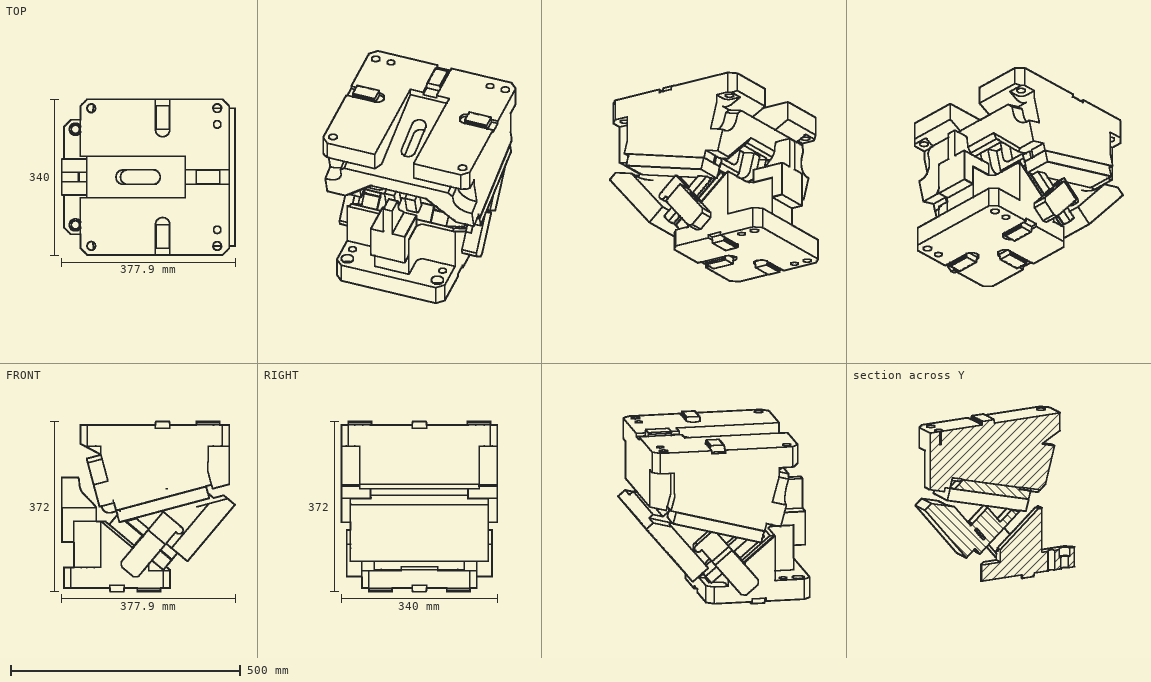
import cadquery as cq
import math

LONG = 756.0
CORNER_CHAMFER = 15.0
CORNER_RADIUS = 15.0

BASE_LEFT = 5.0
BASE_RIGHT = 236.2
BASE_BOTTOM = 8.0
BASE_HALF_WIDTH = 125.0
FOOT_TOP = 53.3
BASE_TOP = 153.5
WALL_LEFT = 85.5
POST_LEFT = 26.5
POST_HALF_WIDTH = 39.5
SLOPE_ANGLE = 40.0
SLOPE_START = 95.5
SLOPE_LEDGE_WIDTH = 5.5
SLOPE_LEDGE_DEPTH = 6.0
SLOPE_LEDGE_END = 155.0
STOP_HEIGHT = 9.5
STOP_LENGTH = 47.2
NOTCH_LEFT = 190.0
NOTCH_FLOOR = 45.7
NOTCH_HALF_SPAN = 83.0
BOLT_X = 30.0
BOLT_Y = 104.5
BOLT_DIAMETER = 18.0
BOLT_HEAD_DIAMETER = 26.5
BOLT_HEAD_DEPTH = 19.0
DOWEL_OFFSET = 33.3
DOWEL_DIAMETER = 16.3

CAP_LENGTH = 75.5
CAP_TOP = 183.7
CAP_LEG_BOTTOM = 108.0
CAM_TOP = 250.0
CAM_HALF_WIDTH = 10.2
CAM_CREST_LENGTH = 35.5
CAM_SHOULDER = (37.8, 246.0)
CAM_FACE_BOTTOM = (39.0, 234.0)
CAM_ARC_MIDDLE = (42.0, 222.2)
CAM_FLANK_TOP = (49.0, 212.5)
CAM_FLANK_BOTTOM = (71.5, 189.5)
CAP_CHAMFER = 0.8

UPPER_LEFT = 41.0
UPPER_RIGHT = 365.5
UPPER_TOP = 364.0
UPPER_HALF_WIDTH = 170.0
FLANGE_BOTTOM = 318.0
FLANGE_LIP_BOTTOM = 322.8
INNER_HALF_WIDTH = 130.0
BACK_NOTCH_LEFT = 319.5
RAIL_ANGLE = 15.0
RAIL_X = 54.0
RAIL_Z = 290.5
TONGUE_LENGTH = 32.5
TONGUE_BOTTOM = -109.0
CASTING_BOTTOM = -126.0
SIDE_END = 248.5
BACK_NOTCH_BEND = -95.5
BACK_BOTTOM = -135.0
POCKET_DEPTH = 59.5
POCKET_RADIUS = 34.8
POCKET_CHAMFER = 10.0
SLOT_HALF_WIDTH = 45.0
SLOT_RIGHT = 270.0
OBROUND_START = 66.5
OBROUND_END = 166.3
OBROUND_WIDTH = 31.5
OBROUND_DEPTH = 37.8
TUNNEL_TOP = -54.8
TUNNEL_HALF_WIDTH = 59.7
MOUTH_CHAMFER = 10.5
CHANNEL_HALF_WIDTH = 133.0
STRIP_START = 33.3
STRIP_END = 236.2
STRIP_THICKNESS = 27.2
STRIP_INNER_Y = 107.0
STRIP_CHAMFER = 0.8
HOLE_LEFT_X = 64.5
HOLE_RIGHT_X = 339.0
HOLE_Y = 150.0
PIN_HOLE_Y = 115.0
PIN_HOLE_DIAMETER = 16.3
PIN_HOLE_DEPTH = 30.2

KEY_WIDTH = 31.5
KEY_LENGTH = 51.0
KEY_PROUD = 8.0
GROOVE_DEPTH = 6.8
KEY_CHAMFER_WIDTH = 1.32
KEY_CHAMFER_HEIGHT = 3.6
SIDE_KEY_INSET = 14.7
END_KEY_INSET = 20.8
GROOVE_RUN_OUT = 16.3
UPPER_KEY_X = 220.0
LOWER_KEY_X = 120.5

FLANGE_HALF_WIDTH = 126.2
NECK_HALF_WIDTH = 106.0
FIN_START = 4.5
FIN_INNER_Y = 12.5
FIN_OUTER_Y = 35.0
FIN_END = 36.3
FIN_TOP = -70.0
FIN_BOTTOM = -128.0
FIN_RADIUS = 17.5
RIB_HALF_WIDTH = 49.5
FRONT_POCKET_FLOOR = -106.2
FRONT_POCKET_DEPTH = 30.2
FRONT_POCKET_RADIUS = 14.7
RIB_STEP_DEPTH = 1.0
NECK_UNDERSIDE = 37.8
SHOE_START = 10.2
SHOE_END = 164.5
SHOE_TOP = 48.0
SHOE_HALF_WIDTH = 98.3
SHOE_CORE_HALF_WIDTH = 61.2
SHOE_LINE = 29.5
SHOE_LINE_WIDTH = 1.5
END_SLOT_DEPTH = 11.5
SLIDER_BACK = 191.0
WING_START = 147.5
WING_END = 192.8
WING_TOP = 209.5
WING_HALF_WIDTH = 150.5
WING_CENTRE_TOP = -154.5
WING_SIDE_TOP = -164.0
WING_FILLET = 15.5
BRACKET_START = 82.8
BRACKET_END = 132.0
BRACKET_TOP = 45.5
BRACKET_BOTTOM = -53.3
BRACKET_OUTER_Y = 158.7
BRACKET_CHAMFER = 7.5
BOSS_TOP = 97.0
LUG_P = 135.5
LUG_Q = 89.0
LUG_RADIUS = 8.5
PAD_THICKNESS = 1.5
PAD_TOP = 26.0
PAD_BOTTOM = -5.5
PAD_OUTER_Y = 137.5


def tilted_frame(x, z, angle):
    """Side-on plane whose first axis rises by `angle` from +X; its normal is -Y."""
    tilt = math.radians(angle)
    return cq.Plane(origin=(x, 0, z), xDir=(math.cos(tilt), 0, math.sin(tilt)), normal=(0, -1, 0))


UPRIGHT = tilted_frame(0, 0, 0)
RAIL = tilted_frame(RAIL_X, RAIL_Z, RAIL_ANGLE)
SLOPE = tilted_frame(SLOPE_START, BASE_TOP, -SLOPE_ANGLE)
STRIP_BOTTOM = CASTING_BOTTOM - STRIP_THICKNESS
SIDES = (-1, 1)


def rail_point(u, v):
    """X and Z of a point given in the rail frame."""
    point = RAIL.toWorldCoords((u, v))
    return (point.x, point.z)


def slope_point(p, q):
    """X and Z of a point given in the slope frame."""
    point = SLOPE.toWorldCoords((p, q))
    return (point.x, point.z)


def prism(frame, points, half_width):
    """Outline in a side-on frame, extruded to both sides of Y = 0."""
    return cq.Workplane(frame).polyline(points).close().extrude(half_width, both=True)


def block(frame, start, end, bottom, top, half_width):
    """Box in a side-on frame, centred on Y = 0."""
    return prism(frame, [(start, bottom), (end, bottom), (end, top), (start, top)], half_width)


def side_block(frame, start, end, bottom, top, inner_y, outer_y, side):
    """Box in a side-on frame, between two distances from Y = 0 on one side."""
    outline = cq.Workplane(frame).workplane(offset=-side * inner_y)
    outline = outline.moveTo((start + end) / 2, (bottom + top) / 2).rect(end - start, top - bottom)
    return outline.extrude(-side * (outer_y - inner_y))


def box(x_range, y_range, z_range):
    """Upright box from its three ranges."""
    size = [high - low for low, high in (x_range, y_range, z_range)]
    corner = (x_range[0], y_range[0], z_range[0])
    return cq.Workplane("XY").box(*size, centered=False).translate(corner)


def cylinder(x, y, bottom, top, diameter):
    return cq.Workplane("XY", origin=(x, y, bottom)).circle(diameter / 2).extrude(top - bottom)


def mounting_outline(left, right, half_width):
    """Tall block with the plan outline of a mounting plate, corners chamfered."""
    plan = box((left, right), (-half_width, half_width), (-LONG, LONG))
    return plan.edges("|Z").chamfer(CORNER_CHAMFER)


def rail_section(u):
    """Plane across the rail at distance u; its first axis is +Y and its second is v."""
    x, z = rail_point(u, 0)
    tilt = math.radians(RAIL_ANGLE)
    return cq.Plane(origin=(x, 0, z), xDir=(0, 1, 0), normal=(math.cos(tilt), 0, math.sin(tilt)))


def roof_outline(top, half_width, bottom):
    """Trapezium with a flat top and 45 degree flanks, for a section across the rail."""
    foot = half_width + top - bottom
    return [(-foot, bottom), (-half_width, top), (half_width, top), (foot, bottom)]


def key_shape():
    """Key starting at X = 0, with chamfers along its top edges."""
    half = KEY_WIDTH / 2
    shoulder = KEY_PROUD - KEY_CHAMFER_HEIGHT
    crest = half - KEY_CHAMFER_WIDTH
    outline = [(-half, -GROOVE_DEPTH), (half, -GROOVE_DEPTH), (half, shoulder)]
    outline += [(crest, KEY_PROUD), (-crest, KEY_PROUD), (-half, shoulder)]
    return cq.Workplane("YZ").polyline(outline).close().extrude(KEY_LENGTH)


def groove_shape(outer_inset, run_out):
    """Groove for that key, rounded at its inner end and open at the plate edge."""
    half = KEY_WIDTH / 2
    straight_start = half - run_out
    groove = box((straight_start, KEY_LENGTH + outer_inset), (-half, half), (-GROOVE_DEPTH, 0))
    return groove.union(cylinder(straight_start, 0, -GROOVE_DEPTH, 0, KEY_WIDTH))


def place_key_shape(shape, x, y, z, turn, facing_down):
    if facing_down:
        shape = shape.rotate((0, 0, 0), (1, 0, 0), 180)
    return shape.rotate((0, 0, 0), (0, 0, 1), turn).translate((x, y, z))


def add_keys(body, face_z, right, half_width, key_x, end_run_out, facing_down):
    """Two keys across the plate at its sides and one along X at its right edge."""
    side_y = half_width - SIDE_KEY_INSET - KEY_LENGTH
    end_x = right - END_KEY_INSET - KEY_LENGTH
    places = [(key_x, side * side_y, side * 90, SIDE_KEY_INSET, GROOVE_RUN_OUT) for side in SIDES]
    places.append((end_x, 0, 0, END_KEY_INSET, end_run_out))
    for x, y, turn, inset, run_out in places:
        body = body.cut(place_key_shape(groove_shape(inset, run_out), x, y, face_z, turn, facing_down))
        body = body.union(place_key_shape(key_shape(), x, y, face_z, turn, facing_down))
    return body


def base_casting():
    """Foot, full-width wall with the sloped top, and the post in front of it."""
    slope_foot = slope_point((BASE_TOP - NOTCH_FLOOR) / math.sin(math.radians(SLOPE_ANGLE)), 0)
    outline = [
        (BASE_LEFT, BASE_BOTTOM),
        (BASE_RIGHT, BASE_BOTTOM),
        (BASE_RIGHT, NOTCH_FLOOR),
        slope_foot,
        (SLOPE_START, BASE_TOP),
        (WALL_LEFT, BASE_TOP),
        (WALL_LEFT, FOOT_TOP),
        (BASE_LEFT, FOOT_TOP),
    ]
    casting = prism(UPRIGHT, outline, BASE_HALF_WIDTH)
    for side in SIDES:
        ledge_inner = BASE_HALF_WIDTH - SLOPE_LEDGE_WIDTH
        casting = casting.cut(
            side_block(
                SLOPE,
                -LONG,
                SLOPE_LEDGE_END,
                -SLOPE_LEDGE_DEPTH,
                LONG,
                ledge_inner,
                BASE_HALF_WIDTH,
                side,
            )
        )
    stop = block(SLOPE, SHOE_END, SHOE_END + STOP_LENGTH, -STOP_HEIGHT, STOP_HEIGHT, POST_HALF_WIDTH)
    casting = casting.union(stop).union(base_post())
    return casting.intersect(mounting_outline(BASE_LEFT, BASE_RIGHT, BASE_HALF_WIDTH))


def base_post():
    """Post with concave corners where it joins the wall."""
    half = POST_HALF_WIDTH
    flare = half + CORNER_RADIUS
    bend = WALL_LEFT - CORNER_RADIUS
    plan = (
        cq.Workplane("XY", origin=(0, 0, FOOT_TOP))
        .moveTo(POST_LEFT, -half)
        .lineTo(bend, -half)
        .radiusArc((WALL_LEFT, -flare), CORNER_RADIUS)
        .lineTo(WALL_LEFT, flare)
        .radiusArc((bend, half), CORNER_RADIUS)
        .lineTo(POST_LEFT, half)
        .close()
    )
    return plan.extrude(BASE_TOP - FOOT_TOP)


def base_cap():
    """L-shaped cap over the post with the narrow return cam on top."""
    outline = [
        (0, CAP_LEG_BOTTOM),
        (POST_LEFT, CAP_LEG_BOTTOM),
        (POST_LEFT, BASE_TOP),
        (CAP_LENGTH, BASE_TOP),
        (CAP_LENGTH, CAP_TOP),
        (0, CAP_TOP),
    ]
    cap = prism(UPRIGHT, outline, POST_HALF_WIDTH)
    cap = cap.faces("<Y or >Y").edges().chamfer(CAP_CHAMFER)
    cam = (
        cq.Workplane(UPRIGHT)
        .moveTo(0, CAP_TOP)
        .lineTo(CAP_LENGTH, CAP_TOP)
        .lineTo(*CAM_FLANK_BOTTOM)
        .lineTo(*CAM_FLANK_TOP)
        .threePointArc(CAM_ARC_MIDDLE, CAM_FACE_BOTTOM)
        .lineTo(*CAM_SHOULDER)
        .lineTo(CAM_CREST_LENGTH, CAM_TOP)
        .lineTo(0, CAM_TOP)
        .close()
        .extrude(CAM_HALF_WIDTH, both=True)
    )
    return cap.union(cam)


def base_notch(side):
    """Corner notch over a bolt position beside the slope."""
    notch = side_block(
        UPRIGHT, NOTCH_LEFT, LONG, NOTCH_FLOOR, LONG, NOTCH_HALF_SPAN, BASE_HALF_WIDTH + CORNER_RADIUS, side
    )
    inner_edge = "<X and <Y" if side > 0 else "<X and >Y"
    return notch.edges("|Z").edges(inner_edge).fillet(CORNER_RADIUS)


def build_base():
    base = base_casting().union(base_cap())
    for side in SIDES:
        y = side * BOLT_Y
        base = base.cut(base_notch(side))
        base = base.cut(cylinder(BOLT_X, y, 0, FOOT_TOP, BOLT_DIAMETER))
        base = base.cut(cylinder(BOLT_X, y, FOOT_TOP - BOLT_HEAD_DEPTH, FOOT_TOP, BOLT_HEAD_DIAMETER))
        base = base.cut(cylinder(BOLT_X + DOWEL_OFFSET, y, 0, FOOT_TOP, DOWEL_DIAMETER))
    return add_keys(base, BASE_BOTTOM, BASE_RIGHT, BASE_HALF_WIDTH, LOWER_KEY_X, GROOVE_RUN_OUT, True)


def upper_casting():
    """Mounting plate and casting, with the tilted tongue at the front."""
    tilt = math.radians(RAIL_ANGLE)
    back_end = (UPPER_RIGHT - RAIL_X + BACK_BOTTOM * math.sin(tilt)) / math.cos(tilt)
    outline = [
        (UPPER_LEFT, UPPER_TOP),
        (UPPER_RIGHT, UPPER_TOP),
        rail_point(back_end, BACK_BOTTOM),
        rail_point(SIDE_END, BACK_BOTTOM),
        rail_point(SIDE_END, CASTING_BOTTOM),
        rail_point(TONGUE_LENGTH, CASTING_BOTTOM),
        rail_point(TONGUE_LENGTH, TONGUE_BOTTOM),
        rail_point(0, TONGUE_BOTTOM),
        (RAIL_X, RAIL_Z),
        rail_point(TONGUE_LENGTH, 0),
        (UPPER_LEFT, FLANGE_LIP_BOTTOM),
    ]
    casting = prism(UPRIGHT, outline, UPPER_HALF_WIDTH)
    return casting.intersect(mounting_outline(UPPER_LEFT, UPPER_RIGHT, UPPER_HALF_WIDTH))


def front_notch(side):
    """Space under the flange at a front corner."""
    root_x = rail_point(TONGUE_LENGTH, 0)[0]
    notch = side_block(
        UPRIGHT, 0, root_x, RAIL_Z, FLANGE_BOTTOM, INNER_HALF_WIDTH, 2 * UPPER_HALF_WIDTH, side
    )
    inner_edge = ">X and <Y" if side > 0 else ">X and >Y"
    notch = notch.edges("|Z").edges(inner_edge).fillet(CORNER_RADIUS)
    return notch.cut(block(RAIL, -LONG, LONG, -LONG, 0, LONG))


def tongue_pocket(side):
    """Rounded pocket in a front corner of the tongue, chamfered at its top."""
    inner = side * INNER_HALF_WIDTH
    outer = side * 2 * UPPER_HALF_WIDTH
    arc_middle = POCKET_RADIUS * (1 - math.sqrt(0.5))
    outline = (
        cq.Workplane(rail_section(0))
        .moveTo(inner - side * POCKET_CHAMFER, 0)
        .lineTo(inner, -POCKET_CHAMFER)
        .lineTo(inner, POCKET_RADIUS - POCKET_DEPTH)
        .threePointArc(
            (inner + side * arc_middle, arc_middle - POCKET_DEPTH),
            (inner + side * POCKET_RADIUS, -POCKET_DEPTH),
        )
        .lineTo(outer, -POCKET_DEPTH)
        .lineTo(outer, 0)
        .close()
    )
    return outline.extrude(TONGUE_LENGTH)


def back_notch(side):
    """Side recess under the flange at a rear corner."""
    outline = [
        (BACK_NOTCH_LEFT, FLANGE_BOTTOM),
        rail_point(SIDE_END, BACK_NOTCH_BEND),
        rail_point(SIDE_END, 2 * BACK_BOTTOM),
        (LONG, 0),
        (LONG, FLANGE_BOTTOM),
    ]
    start = cq.Workplane(UPRIGHT).workplane(offset=-side * INNER_HALF_WIDTH)
    return start.polyline(outline).close().extrude(-side * UPPER_HALF_WIDTH)


def upper_slot():
    """Open slot above the rail plane, with an obround pocket in its floor."""
    slot = block(RAIL, -LONG, LONG, 0, LONG, SLOT_HALF_WIDTH)
    slot = slot.intersect(block(UPRIGHT, 0, SLOT_RIGHT, 0, LONG, LONG))
    floor = cq.Plane(
        origin=RAIL.toWorldCoords(((OBROUND_START + OBROUND_END) / 2, 0)).toTuple(),
        xDir=RAIL.xDir,
        normal=RAIL.yDir,
    )
    pocket = cq.Workplane(floor).slot2D(OBROUND_END - OBROUND_START, OBROUND_WIDTH).extrude(-OBROUND_DEPTH)
    return slot.union(pocket)


def slider_tunnel():
    """Roofed tunnel for the slider, its chamfered mouth and the flange channel below it."""
    inner = roof_outline(TUNNEL_TOP, TUNNEL_HALF_WIDTH, TONGUE_BOTTOM)
    mouth_half = TUNNEL_HALF_WIDTH + MOUTH_CHAMFER * math.tan(math.radians(22.5))
    mouth = roof_outline(TUNNEL_TOP + MOUTH_CHAMFER, mouth_half, TONGUE_BOTTOM)
    tunnel = cq.Workplane(rail_section(0)).polyline(inner).close().extrude(STRIP_END)
    lead_in = (
        cq.Workplane(rail_section(0))
        .polyline(mouth)
        .close()
        .workplane(offset=MOUTH_CHAMFER)
        .polyline(inner)
        .close()
        .loft(ruled=True)
    )
    channel = block(RAIL, 0, STRIP_END, CASTING_BOTTOM, TONGUE_BOTTOM, CHANNEL_HALF_WIDTH)
    return tunnel.union(lead_in).union(channel)


def guide_strip(side):
    """Strip under the casting that carries the slider flange."""
    strip = side_block(
        RAIL, STRIP_START, STRIP_END, STRIP_BOTTOM, CASTING_BOTTOM, STRIP_INNER_Y, UPPER_HALF_WIDTH, side
    )
    outer_face = ">Y" if side > 0 else "<Y"
    long_edges = cq.selectors.ParallelDirSelector(RAIL.xDir)
    return strip.faces(outer_face).edges(long_edges).chamfer(STRIP_CHAMFER)


def build_upper():
    upper = upper_casting().cut(upper_slot()).cut(slider_tunnel())
    for side in SIDES:
        upper = upper.cut(front_notch(side)).cut(tongue_pocket(side)).cut(back_notch(side))
        for x in (HOLE_LEFT_X, HOLE_RIGHT_X):
            upper = upper.cut(cylinder(x, side * HOLE_Y, FLANGE_BOTTOM, UPPER_TOP, BOLT_DIAMETER))
        pin_y = side * PIN_HOLE_Y
        pin_floor = UPPER_TOP - PIN_HOLE_DEPTH
        upper = upper.cut(cylinder(HOLE_RIGHT_X, pin_y, pin_floor, UPPER_TOP, PIN_HOLE_DIAMETER))
        upper = upper.union(guide_strip(side))
    slot_run_out = UPPER_RIGHT - END_KEY_INSET - KEY_LENGTH - SLOT_RIGHT + KEY_WIDTH
    return add_keys(upper, UPPER_TOP, UPPER_RIGHT, UPPER_HALF_WIDTH, UPPER_KEY_X, slot_run_out, False)


def slider_head():
    """Roofed head with the side flanges that rest on the guide strips."""
    roof = roof_outline(TUNNEL_TOP, TUNNEL_HALF_WIDTH, TONGUE_BOTTOM)
    length = STRIP_END - TONGUE_LENGTH
    head = cq.Workplane(rail_section(TONGUE_LENGTH)).polyline(roof).close().extrude(length)
    for side in SIDES:
        flange = side_block(
            RAIL,
            STRIP_START,
            STRIP_END,
            CASTING_BOTTOM,
            TONGUE_BOTTOM,
            NECK_HALF_WIDTH,
            FLANGE_HALF_WIDTH,
            side,
        )
        head = head.cut(front_pocket(side)).union(flange).union(slider_fin(side))
    step_end = TONGUE_LENGTH + RIB_STEP_DEPTH
    return head.cut(block(RAIL, TONGUE_LENGTH, step_end, FIN_TOP, LONG, RIB_HALF_WIDTH))


def front_pocket(side):
    """Pocket beside the central rib, open at the flank and rounded at its lower corner."""
    pocket = side_block(
        RAIL,
        TONGUE_LENGTH,
        TONGUE_LENGTH + FRONT_POCKET_DEPTH,
        FRONT_POCKET_FLOOR,
        0,
        RIB_HALF_WIDTH,
        UPPER_HALF_WIDTH,
        side,
    )
    corner = cq.selectors.NearestToPointSelector(
        RAIL.toWorldCoords((TONGUE_LENGTH, FRONT_POCKET_FLOOR, -side * RIB_HALF_WIDTH)).toTuple()
    )
    long_edges = cq.selectors.ParallelDirSelector(RAIL.xDir)
    return pocket.edges(long_edges).edges(corner).fillet(FRONT_POCKET_RADIUS)


def slider_fin(side):
    """Fin in front of the head, rounded at its lower front corner."""
    fin = side_block(RAIL, FIN_START, FIN_END, FIN_BOTTOM, FIN_TOP, FIN_INNER_Y, FIN_OUTER_Y, side)
    corner = cq.selectors.NearestToPointSelector(
        RAIL.toWorldCoords((FIN_START, FIN_BOTTOM, -side * (FIN_INNER_Y + FIN_OUTER_Y) / 2)).toTuple()
    )
    return fin.edges("|Y").edges(corner).fillet(FIN_RADIUS)


def slider_neck():
    """Body between the guide strips, joining the head to the shoe."""
    neck = block(RAIL, TONGUE_LENGTH, LONG, -LONG, TONGUE_BOTTOM, NECK_HALF_WIDTH)
    return neck.intersect(block(SLOPE, -LONG, SHOE_END, NECK_UNDERSIDE, LONG, NECK_HALF_WIDTH))


def slider_shoe():
    """Shoe that runs on the slope, with thin side slots and outer plates below the guide strips."""
    shoe = block(SLOPE, SHOE_START, SHOE_END, 0, SHOE_TOP, SHOE_HALF_WIDTH)
    slots = block(SLOPE, -LONG, LONG, SHOE_LINE - SHOE_LINE_WIDTH, SHOE_LINE, LONG)
    shoe = shoe.cut(slots.cut(block(SLOPE, -LONG, LONG, 0, LONG, SHOE_CORE_HALF_WIDTH)))
    for side in SIDES:
        slot_end = SHOE_START + END_SLOT_DEPTH
        slot_outer = SHOE_CORE_HALF_WIDTH + SHOE_LINE_WIDTH
        end_slot = side_block(
            SLOPE, SHOE_START, slot_end, 0, NECK_UNDERSIDE, SHOE_CORE_HALF_WIDTH, slot_outer, side
        )
        shoe = shoe.cut(end_slot)
    plates = block(SLOPE, SHOE_START, SHOE_END, SHOE_LINE, SHOE_TOP, BASE_HALF_WIDTH)
    plates = plates.cut(block(SLOPE, -LONG, LONG, 0, NECK_UNDERSIDE, NECK_HALF_WIDTH))
    plates = plates.intersect(block(RAIL, -LONG, LONG, -LONG, WING_CENTRE_TOP, LONG))
    return shoe.union(plates)


def slider_wing():
    """Wide working end, with concave fillets against the neck and stepped-down sides."""
    wing = block(SLOPE, WING_START, WING_END, SHOE_TOP, WING_TOP, WING_HALF_WIDTH)
    wing_base = SLOPE.toWorldCoords((0, SHOE_TOP)).toTuple()
    plan = cq.Plane(origin=wing_base, xDir=SLOPE.xDir, normal=SLOPE.yDir)
    for side in SIDES:
        wall = side * NECK_HALF_WIDTH
        fillet = (
            cq.Workplane(plan)
            .moveTo(WING_START - WING_FILLET, wall)
            .lineTo(WING_START, wall)
            .lineTo(WING_START, wall + side * WING_FILLET)
            .radiusArc((WING_START - WING_FILLET, wall), side * WING_FILLET)
            .close()
            .extrude(WING_TOP - SHOE_TOP)
        )
        wing = wing.union(fillet)
        wing = wing.cut(side_block(RAIL, -LONG, LONG, WING_SIDE_TOP, LONG, NECK_HALF_WIDTH, LONG, side))
    return wing.cut(block(RAIL, -LONG, LONG, WING_CENTRE_TOP, LONG, LONG))


def slider_bracket(side):
    """Return bracket beside the base, with its mounting boss and wear pad."""
    bracket = side_block(
        SLOPE,
        BRACKET_START,
        BRACKET_END,
        BRACKET_BOTTOM,
        BRACKET_TOP,
        BASE_HALF_WIDTH,
        BRACKET_OUTER_Y,
        side,
    )
    lower_face = cq.selectors.DirectionMinMaxSelector(SLOPE.yDir, False)
    bracket = bracket.faces(lower_face).edges("|Y").chamfer(BRACKET_CHAMFER)
    pad = side_block(
        SLOPE,
        BRACKET_START - PAD_THICKNESS,
        BRACKET_START,
        PAD_BOTTOM,
        PAD_TOP,
        BASE_HALF_WIDTH,
        PAD_OUTER_Y,
        side,
    )
    boss = side_block(
        SLOPE, BRACKET_START, BRACKET_END, SHOE_LINE, BOSS_TOP, NECK_HALF_WIDTH, BASE_HALF_WIDTH, side
    )
    lug = cq.Workplane(SLOPE).workplane(offset=-side * NECK_HALF_WIDTH)
    lug = lug.moveTo(LUG_P, LUG_Q).circle(LUG_RADIUS).extrude(-side * (BASE_HALF_WIDTH - NECK_HALF_WIDTH))
    boss = boss.union(lug)
    boss = boss.cut(block(RAIL, -LONG, LONG, STRIP_BOTTOM, LONG, LONG))
    return bracket.union(pad).union(boss)


def build_slider():
    slider = slider_head().union(slider_neck())
    slider = slider.cut(block(SLOPE, -LONG, LONG, SLIDER_BACK, LONG, LONG))
    trim = block(RAIL, -LONG, LONG, WING_CENTRE_TOP, LONG, LONG)
    trim = trim.intersect(block(SLOPE, WING_END, LONG, -LONG, LONG, LONG))
    slider = slider.cut(trim).union(slider_shoe()).union(slider_wing())
    for side in SIDES:
        slider = slider.union(slider_bracket(side))
    return slider


base = build_base()
slider = build_slider()
upper = build_upper()
result = cq.Compound.makeCompound([base.solids().val(), slider.solids().val(), upper.solids().val()])